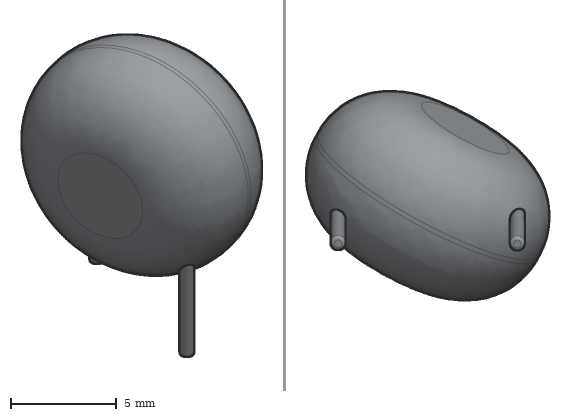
import cadquery as cq

body_diameter = 12.0
body_thickness = 7.5
rim_band_width = 0.23
edge_radius = (body_thickness - rim_band_width) / 2

total_height = 15.03
lead_diameter = 0.72
lead_offset_x = 3.74
lead_offset_y = 2.0
lead_tip_radius = 0.18
lead_bottom_z = body_diameter / 2 - total_height


def make_body():
    disc = (
        cq.Workplane("XZ", origin=(0, body_thickness / 2, 0))
        .circle(body_diameter / 2)
        .extrude(body_thickness)
    )
    return disc.edges("%CIRCLE").fillet(edge_radius)


def make_lead(x, y):
    lead = (
        cq.Workplane("XY", origin=(x, y, lead_bottom_z))
        .circle(lead_diameter / 2)
        .extrude(-lead_bottom_z)
    )
    return lead.faces("<Z").edges().fillet(lead_tip_radius)


result = make_body()
for side in (-1, 1):
    result = result.union(make_lead(side * lead_offset_x, -side * lead_offset_y))